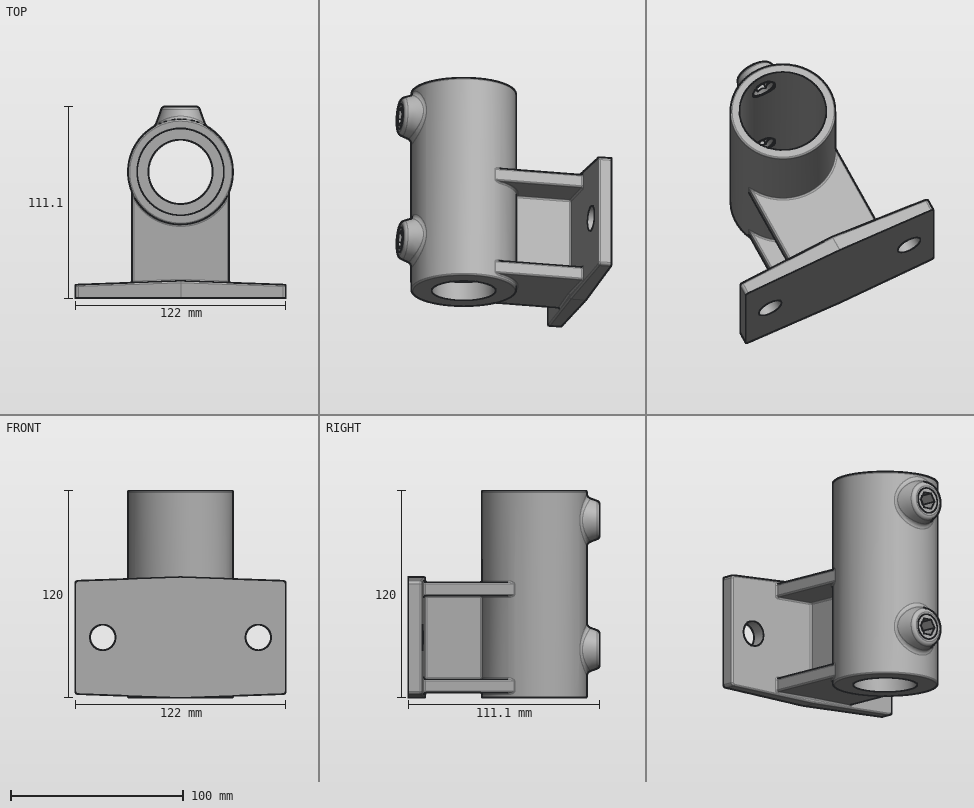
import cadquery as cq
import math


tube_height = 120.0
tube_radius = 30.5
bore_radius = 25.1
lip_radius = 18.5
edge_radius = 1.0

boss_reach = 38.0
boss_draft = 20.0
boss_tip_radius = 10.6
boss_tip_fillet = 2.7
boss_root_fillet = 2.9
screw_end_margin = 17.1
lower_screw_height = 28.0
screw_heights = [lower_screw_height, tube_height - screw_end_margin]
boss_length = boss_reach - bore_radius
boss_root_radius = boss_tip_radius + boss_length * math.tan(math.radians(boss_draft))

lip_thickness = lower_screw_height - screw_end_margin

screw_radius = 7.3
screw_tip = 25.4
hex_across_flats = 9.0
hex_turn = 30.0
cup_radius = 6.8
cup_depth = cup_radius - hex_across_flats / 2

plate_width = 122.0
plate_front = -73.1
plate_height = 70.0
plate_thickness = 10.0
plate_taper = 2.2
plate_corner_radius = 1.8
plate_hole_radius = 7.3
plate_hole_spacing = 90.0
plate_half = plate_width / 2
plate_back = plate_front + plate_thickness
side_back = plate_back - plate_taper
side_top = plate_height - plate_taper

rib_width = 56.4
rib_thickness = 7.8
rib_inset = 3.0
web_thickness = 5.5
rib_heights = [rib_inset, plate_height - rib_inset - rib_thickness]
arm_length = -side_back

tolerance = 0.01


def tube():
    """Plain outer cylinder with rounded rims."""
    return cq.Workplane("XY").circle(tube_radius).extrude(tube_height).edges("%CIRCLE").fillet(edge_radius)


def boss(height):
    """Drafted round boss that rises from inside the tube wall."""
    cone = cq.Solid.makeCone(
        boss_root_radius,
        boss_tip_radius,
        boss_length,
        pnt=cq.Vector(0, bore_radius, height),
        dir=cq.Vector(0, 1, 0),
    )
    return cq.Workplane(cone).faces(">Y").edges().fillet(boss_tip_fillet)


def half_plate():
    """The +X half of the plate, tapered in height and thickness towards its side."""
    face_outline = [
        (0, 0),
        (plate_half, plate_taper),
        (plate_half, side_top),
        (0, plate_height),
    ]
    section = [
        (0, plate_front),
        (plate_half, plate_front),
        (plate_half, side_back),
        (0, plate_back),
    ]
    blank = (
        cq.Workplane("XZ", origin=(0, plate_back, 0))
        .polyline(face_outline)
        .close()
        .extrude(plate_thickness)
        .edges("|Y and >X")
        .fillet(plate_corner_radius)
    )
    taper = cq.Workplane("XY").polyline(section).close().extrude(plate_height)
    half = blank.intersect(taper)
    outer_rim = cq.selectors.BoxSelector(
        (tolerance, side_back - tolerance, -tolerance),
        (plate_half + tolerance, plate_back, plate_height + tolerance),
    )
    return half.faces(">Y").edges(outer_rim).fillet(edge_radius)


def fixing_plate():
    """Both halves of the plate, mirrored about the centre plane."""
    half = half_plate()
    return half.union(half.mirror("YZ"))


def rib(base_height):
    """Horizontal rib with rounded long edges."""
    return (
        cq.Workplane("XY", origin=(0, -arm_length / 2, base_height))
        .rect(rib_width, arm_length)
        .extrude(rib_thickness)
        .edges("|Y")
        .fillet(edge_radius)
    )


def web():
    """Upright web on the centre plane, between the middles of the two ribs."""
    return (
        cq.Workplane("XY", origin=(0, -arm_length / 2, rib_heights[0] + rib_thickness / 2))
        .rect(web_thickness, arm_length)
        .extrude(rib_heights[1] - rib_heights[0])
    )


def is_boss_root(edge):
    """The edge where a boss runs into the outside of the tube."""
    return edge.geomType() == "BSPLINE" and edge.BoundingBox().ymin > 0


def is_arm_joint(edge):
    """An inner edge where ribs, web, tube and plate run into each other."""
    box = edge.BoundingBox()
    within_arm = (
        box.zmin > rib_inset - tolerance
        and box.zmax < plate_height - rib_inset + tolerance
        and abs(edge.Center().x) < rib_width / 2 + tolerance
    )
    on_tube = all(
        abs(math.hypot(end.X, end.Y) - tube_radius) < tolerance for end in edge.Vertices()
    )
    on_plate = box.ymax < plate_back + tolerance and box.ymin > side_back - tolerance
    beside_web = edge.geomType() == "LINE" and abs(abs(edge.Center().x) - web_thickness / 2) < tolerance
    return within_arm and box.ymax < 0 and (on_tube or on_plate or beside_web)


def round_edges(body, is_chosen, radius):
    """Fillet the edges of a body that pass a test."""
    chosen = [edge for edge in body.edges().vals() if is_chosen(edge)]
    return body.newObject(chosen).fillet(radius)


def screw_hole(height):
    """Cutter for the round screw hole from the bore to the boss face."""
    return cq.Workplane("XZ", origin=(0, 0, height)).circle(screw_radius).extrude(-boss_reach)


def make_housing():
    """Tube, bosses, arm and plate in one casting, with its bore and holes."""
    body = tube()
    for height in screw_heights:
        body = body.union(boss(height))
    body = round_edges(body, is_boss_root, boss_root_fillet)

    body = body.union(fixing_plate())
    for height in rib_heights:
        body = body.union(rib(height))
    body = body.union(web())
    body = round_edges(body, is_arm_joint, edge_radius)

    bore = cq.Workplane("XY", origin=(0, 0, lip_thickness)).circle(bore_radius).extrude(tube_height)
    lip_opening = cq.Workplane("XY").circle(lip_radius).extrude(lip_thickness)
    body = body.cut(bore).cut(lip_opening)
    for height in screw_heights:
        body = body.cut(screw_hole(height))

    plate_holes = (
        cq.Workplane("XZ", origin=(0, plate_back, plate_height / 2))
        .pushPoints([(-plate_hole_spacing / 2, 0), (plate_hole_spacing / 2, 0)])
        .circle(plate_hole_radius)
        .extrude(plate_thickness)
    )
    return body.cut(plate_holes)


def make_set_screw(height):
    """Hollow set screw: flush with the boss face, hexagon right through, cupped tip (45 degrees)."""
    shank = (
        cq.Workplane("XZ", origin=(0, screw_tip, height))
        .circle(screw_radius)
        .extrude(screw_tip - boss_reach)
    )
    hexagon = (
        cq.Workplane("XZ", origin=(0, screw_tip, height))
        .polygon(6, hex_across_flats, circumscribed=True)
        .extrude(screw_tip - boss_reach)
        .rotate((0, 0, height), (0, 1, height), hex_turn)
    )
    cup = cq.Solid.makeCone(
        cup_radius,
        hex_across_flats / 2,
        cup_depth,
        pnt=cq.Vector(0, screw_tip, height),
        dir=cq.Vector(0, 1, 0),
    )
    return shank.cut(hexagon).cut(cq.Workplane(cup))


housing = make_housing()
set_screws = [make_set_screw(height) for height in screw_heights]

result = cq.Compound.makeCompound([housing.val(), *[screw.val() for screw in set_screws]])